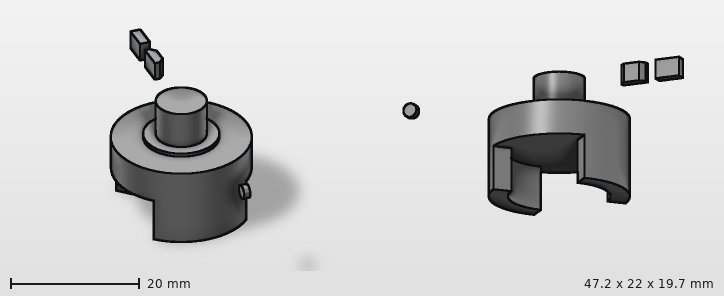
import cadquery as cq

coupling_diameter = 22.0
bore_diameter = 16.0
leg_height = 7.0
deck_thickness = 5.5
collar_diameter = 11.9
collar_height = 0.55
shaft_diameter = 8.0
shaft_height = 6.0

overall_height = 19.7
overall_length = 47.2
block_height = 3.0
block_base = overall_height - block_height
block_length = 4.0
block_depth = 1.65
block_left = -21.1
key_length = 4.15
key_left = -15.1
key_chamfer = 0.8

disc_diameter = 2.2
disc_thickness = 1.05
disc_centre_x = block_left + overall_length - disc_diameter / 2
disc_centre_z = block_base


def cylinder(diameter, height, base):
    return cq.Workplane("XY").workplane(offset=base).circle(diameter / 2).extrude(height)


def leg_window():
    """Quarter-turn wedge, centred on -Y, that separates the two legs."""
    reach = coupling_diameter
    return (
        cq.Workplane("XY")
        .polyline([(0, 0), (-reach, -reach), (reach, -reach)])
        .close()
        .extrude(leg_height)
    )


def make_coupling():
    """Disc with two quarter-ring legs below and a collared shaft above."""
    deck_top = leg_height + deck_thickness
    collar_top = deck_top + collar_height
    body = cylinder(coupling_diameter, deck_top, 0)
    body = body.cut(cylinder(bore_diameter, leg_height, 0))
    for angle in (0, 180):
        body = body.cut(leg_window().rotate((0, 0, 0), (0, 0, 1), angle))
    body = body.union(cylinder(collar_diameter, collar_height, deck_top))
    return body.union(cylinder(shaft_diameter, shaft_height, collar_top))


def make_block():
    """Plain rectangular block with its front face on Y = 0."""
    return (
        cq.Workplane("XY", origin=(block_left, 0, block_base))
        .box(block_length, block_depth, block_height, centered=False)
    )


def make_key():
    """Block with chamfered back corners, its front face on Y = 0."""
    return (
        cq.Workplane("XY", origin=(key_left, 0, block_base))
        .rect(key_length, block_depth, centered=False)
        .extrude(block_height)
        .edges("|Z and >Y")
        .chamfer(key_chamfer)
    )


def make_disc():
    """Short round disc with its front face on Y = 0."""
    return (
        cq.Workplane("XZ", origin=(disc_centre_x, 0, disc_centre_z))
        .circle(disc_diameter / 2)
        .extrude(-disc_thickness)
    )


coupling = make_coupling()
block = make_block()
key = make_key()
disc = make_disc()

result = cq.Compound.makeCompound([coupling.val(), block.val(), key.val(), disc.val()])